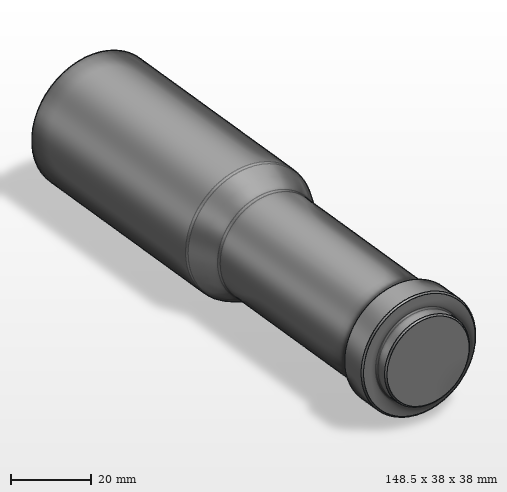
import cadquery as cq

total_length = 148.5
body_diameter = 38.0
neck_diameter = 30.3
collar_diameter = 34.5
spigot_diameter = 25.5

taper_start = 69.2
taper_end = 78.0
collar_start = 136.9
collar_end = 144.6
taper_blend_radius = 2.2
edge_chamfer = 0.5
body_end_chamfer = 0.3
spigot_root_radius = 0.5

body_radius = body_diameter / 2
neck_radius = neck_diameter / 2
collar_radius = collar_diameter / 2
spigot_radius = spigot_diameter / 2


def revolved_body():
    """Revolve the stepped half outline about the X axis."""
    outline = [
        (0, 0),
        (0, body_radius),
        (taper_start, body_radius),
        (taper_end, neck_radius),
        (collar_start, neck_radius),
        (collar_start, collar_radius),
        (collar_end, collar_radius),
        (collar_end, spigot_radius),
        (total_length, spigot_radius),
        (total_length, 0),
    ]
    return cq.Workplane("XY").polyline(outline).close().revolve(360, (0, 0), (1, 0))


def circle_at(x, radius):
    """Select the circular edge of the given radius at the given X position."""
    half_gap = edge_chamfer / 2
    reach = radius + half_gap
    inner = radius - half_gap
    around_outside = cq.selectors.BoxSelector(
        (x - half_gap, -reach, -reach), (x + half_gap, reach, reach), boundingbox=True
    )
    inside = cq.selectors.BoxSelector(
        (x - half_gap, -inner, -inner), (x + half_gap, inner, inner), boundingbox=True
    )
    return around_outside - inside


result = revolved_body()

for x, radius in [(taper_start, body_radius), (taper_end, neck_radius)]:
    result = result.edges(circle_at(x, radius)).fillet(taper_blend_radius)

result = result.edges(circle_at(collar_end, spigot_radius)).fillet(spigot_root_radius)

for x, radius in [(collar_end, collar_radius), (total_length, spigot_radius)]:
    result = result.edges(circle_at(x, radius)).chamfer(edge_chamfer)

result = result.edges(circle_at(0, body_radius)).chamfer(body_end_chamfer)